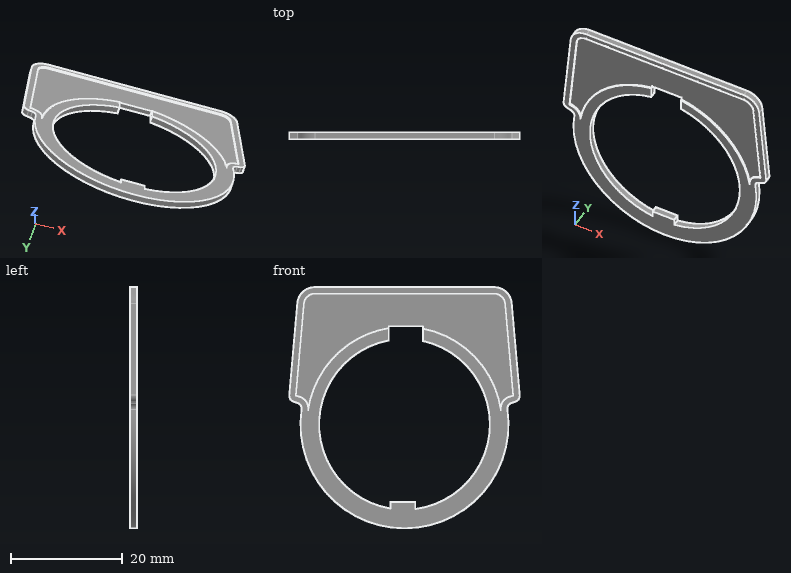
import cadquery as cq
import math

overall_width = 41.27
overall_height = 43.2
thickness = 1.27

ring_radius = 18.63
bore_radius = 15.25

panel_top = overall_height - ring_radius
side_tilt = math.radians(5)
top_corner_radius = 3.2
rim_width = 1.2
lower_corner_radius = rim_width
lower_corner_z = 5.15
shelf_tilt = math.radians(18)
neck_radius = 1.0
recess_depth = 0.25

notch_width = 6.05
notch_center_x = 0.25
notch_top = 17.5

key_width = 4.43
key_center_x = -0.29
key_top = -13.87

lower_center = (overall_width / 2 - lower_corner_radius, lower_corner_z)


def polar(center, radius, angle):
    return (center[0] + radius * math.cos(angle), center[1] + radius * math.sin(angle))


def neck_arc_center():
    """Centre of the neck arc, tangent to the ring and to the sloping shelf."""
    below_shelf = polar(lower_center, lower_corner_radius + neck_radius, shelf_tilt - math.pi / 2)
    along = below_shelf[0] * math.cos(shelf_tilt) + below_shelf[1] * math.sin(shelf_tilt)
    excess = math.hypot(*below_shelf) ** 2 - (ring_radius + neck_radius) ** 2
    travel = along - math.sqrt(along**2 - excess)
    return polar(below_shelf, travel, shelf_tilt + math.pi)


def top_arc_center():
    """Centre of the top corner arc, tangent to the top edge and the tilted side."""
    z = panel_top - top_corner_radius
    rise = z - lower_center[1]
    radius_gain = top_corner_radius - lower_corner_radius
    x = lower_center[0] - rise * math.tan(side_tilt) - radius_gain / math.cos(side_tilt)
    return (x, z)


def mirrored(point):
    return (-point[0], point[1])


def panel_profile(inset, closing_point):
    """Panel outline moved inward by inset and closed by a ring arc through closing_point."""
    neck_center = neck_arc_center()
    top_center = top_arc_center()
    neck_r = neck_radius + inset
    lower_r = lower_corner_radius - inset
    top_r = top_corner_radius - inset

    ring_angle = math.atan2(neck_center[1], neck_center[0]) + math.pi
    neck_end_angle = shelf_tilt + math.pi / 2
    shelf_angle = shelf_tilt - math.pi / 2
    neck_start = polar(neck_center, neck_r, ring_angle)
    neck_mid = polar(neck_center, neck_r, (ring_angle + neck_end_angle) / 2)
    neck_end = polar(neck_center, neck_r, neck_end_angle)
    shelf_end = polar(lower_center, lower_r, shelf_angle)
    lower_mid = polar(lower_center, lower_r, (shelf_angle + side_tilt) / 2)
    side_start = polar(lower_center, lower_r, side_tilt)
    side_end = polar(top_center, top_r, side_tilt)
    top_mid = polar(top_center, top_r, (side_tilt + math.pi / 2) / 2)
    top_end = polar(top_center, top_r, math.pi / 2)

    has_lower_arc = lower_r > 0
    profile = cq.Workplane("XZ").moveTo(*neck_start).threePointArc(neck_mid, neck_end)
    profile = profile.lineTo(*shelf_end)
    if has_lower_arc:
        profile = profile.threePointArc(lower_mid, side_start)
    profile = profile.lineTo(*side_end).threePointArc(top_mid, top_end)
    profile = profile.lineTo(*mirrored(top_end))
    profile = profile.threePointArc(mirrored(top_mid), mirrored(side_end))
    profile = profile.lineTo(*mirrored(side_start))
    if has_lower_arc:
        profile = profile.threePointArc(mirrored(lower_mid), mirrored(shelf_end))
    profile = profile.lineTo(*mirrored(neck_end))
    profile = profile.threePointArc(mirrored(neck_mid), mirrored(neck_start))
    return profile.threePointArc(closing_point, neck_start).close()


def bore_cutter():
    """Bore with the key left standing at the bottom and the notch added at the top."""
    bore = cq.Workplane("XZ").circle(bore_radius).extrude(thickness)
    key_height = key_top + ring_radius
    key = (
        cq.Workplane("XZ")
        .center(key_center_x, key_top - key_height / 2)
        .rect(key_width, key_height)
        .extrude(thickness)
    )
    notch = (
        cq.Workplane("XZ")
        .center(notch_center_x, notch_top / 2)
        .rect(notch_width, notch_top)
        .extrude(thickness)
    )
    return bore.cut(key).union(notch)


def label_recess():
    """Shallow recess in the front (-Y) face, bounded below by an arc around the bore."""
    recess = panel_profile(rim_width, (0, ring_radius - rim_width)).extrude(recess_depth)
    return recess.translate((0, recess_depth - thickness, 0))


plate = panel_profile(0, (0, -ring_radius)).extrude(thickness)
result = plate.cut(label_recess()).cut(bore_cutter())